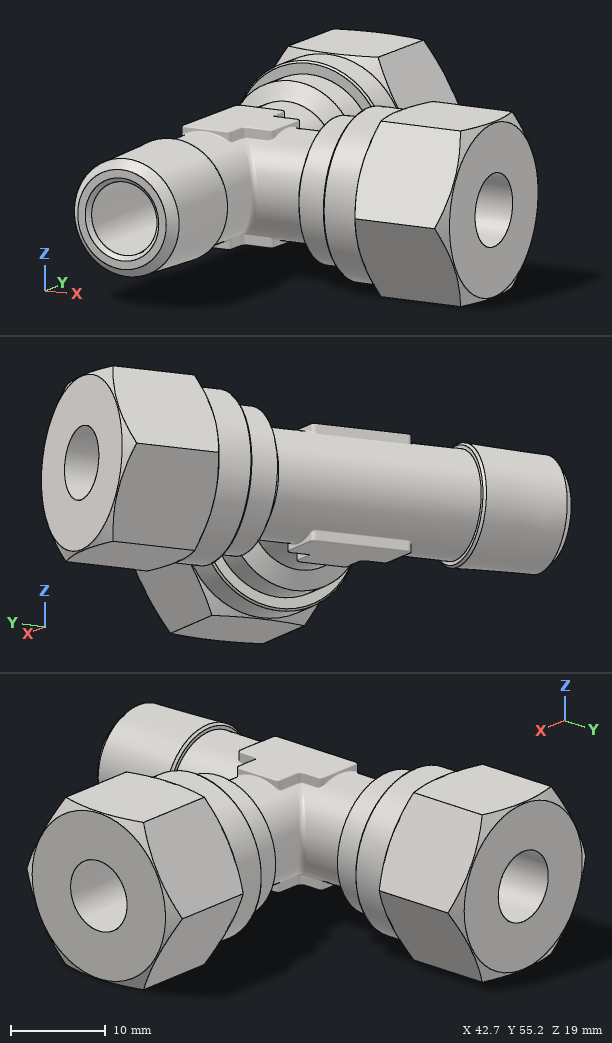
import cadquery as cq
import math

arm_length = 31.7
spigot_length = 23.55
body_radius = 12.0 / 2
bore_radius = 4.0

across_flats = 19.0
nut_length = 11.5
collar_radius = 9.4
collar_length = 4.0
collar_edge = 0.2
nut_chamfer_angle = 30

shoulder_radius = 16.0 / 2
shoulder_start = 12.6
shoulder_cone_start = 11.45

spigot_start = 12.55
spigot_base_radius = 13.4 / 2
spigot_tip_radius = 12.75 / 2
spigot_base_edge = 0.3
spigot_tip_chamfer = 1.0
bore_chamfer = 0.5

pad_top = 6.4
pad_half_width = 3.05
pad_bar_half_length = 5.95
pad_stem_reach = 6.6
pad_corner_radius = 0.55
pad_edge_radius = 0.15
pad_base_radius = 0.15

crotch_radius = 0.5

nut_start = arm_length - nut_length
collar_start = nut_start - collar_length
corner_radius = across_flats / math.sqrt(3)
nut_chamfer_length = (corner_radius - collar_radius) * math.tan(math.radians(nut_chamfer_angle))


def turned(profile):
    """Revolve a (radius, distance along Y) profile about the Y axis."""
    return cq.Workplane("XY").polyline(profile).close().revolve(360, (0, 0, 0), (0, 1, 0))


def along_branch(solid):
    """Turn a solid built along +Y so that it points along +X."""
    return solid.rotate((0, 0, 0), (0, 0, 1), -90)


def make_nut_arm():
    """Shoulder, collar and hexagon nut on one arm, pointing along +Y."""
    neck = turned([
        (0, shoulder_cone_start),
        (body_radius, shoulder_cone_start),
        (shoulder_radius, shoulder_start),
        (shoulder_radius, collar_start),
        (collar_radius - collar_edge, collar_start),
        (collar_radius, collar_start + collar_edge),
        (collar_radius, nut_start),
        (0, nut_start),
    ])
    hexagon = (
        cq.Workplane("XZ", origin=(0, nut_start, 0))
        .polygon(6, 2 * corner_radius)
        .extrude(-nut_length)
    )
    corner_limits = turned([
        (0, nut_start),
        (collar_radius, nut_start),
        (corner_radius, nut_start + nut_chamfer_length),
        (corner_radius, arm_length - nut_chamfer_length),
        (collar_radius, arm_length),
        (0, arm_length),
    ])
    return neck.union(hexagon.intersect(corner_limits))


def make_spigot():
    """Tapered male end of the run, pointing along -Y."""
    return turned([
        (0, -spigot_start),
        (spigot_base_radius - spigot_base_edge, -spigot_start),
        (spigot_base_radius, -spigot_start - spigot_base_edge),
        (spigot_tip_radius, -spigot_length + spigot_tip_chamfer),
        (spigot_tip_radius - spigot_tip_chamfer, -spigot_length),
        (0, -spigot_length),
    ])


def make_tee():
    """Plain run and branch tubes."""
    run_length = shoulder_cone_start + spigot_start
    run = (
        cq.Workplane("XZ", origin=(0, shoulder_cone_start, 0))
        .circle(body_radius)
        .extrude(run_length)
    )
    branch = cq.Workplane("YZ").circle(body_radius).extrude(shoulder_cone_start)
    return run.union(branch)


def make_pad():
    """T-shaped pad rising from the centre plane to its flat top."""
    bar = cq.Workplane("XY").rect(2 * pad_half_width, 2 * pad_bar_half_length).extrude(pad_top)
    stem = (
        cq.Workplane("XY")
        .center(pad_stem_reach / 2, 0)
        .rect(pad_stem_reach, 2 * pad_half_width)
        .extrude(pad_top)
    )
    pad = bar.union(stem).edges("|Z").fillet(pad_corner_radius)
    return pad.faces(">Z").edges().fillet(pad_edge_radius)


def make_bores():
    """Through bore of the run, its spigot-end chamfer and the branch bore."""
    run_bore = turned([
        (0, -spigot_length),
        (bore_radius + bore_chamfer, -spigot_length),
        (bore_radius, -spigot_length + bore_chamfer),
        (bore_radius, arm_length),
        (0, arm_length),
    ])
    branch_bore = cq.Workplane("YZ").circle(bore_radius).extrude(arm_length)
    return run_bore.union(branch_bore)


def pad_base_edges(side):
    """Selector for the base outline of the upper (side = 1) or lower (side = -1) pad."""
    lowest = math.sqrt(body_radius ** 2 - pad_half_width ** 2)
    margin = 0.05
    return cq.selectors.BoxSelector(
        (-pad_half_width - margin, -pad_bar_half_length - margin, side * (lowest - margin)),
        (pad_stem_reach + margin, pad_bar_half_length + margin, side * (body_radius + margin)),
        boundingbox=True,
    )


def make_body():
    """Tee with its pads, rounded in the crotches and around the pad bases."""
    pad = make_pad()
    body = make_tee().union(pad).union(pad.mirror("XY"))
    body = body.edges("%ELLIPSE").fillet(crotch_radius)
    for side in (1, -1):
        body = body.edges(pad_base_edges(side)).fillet(pad_base_radius)
    return body


nut_arm = make_nut_arm()
result = (
    make_body()
    .union(nut_arm)
    .union(along_branch(nut_arm))
    .union(make_spigot())
    .cut(make_bores())
)